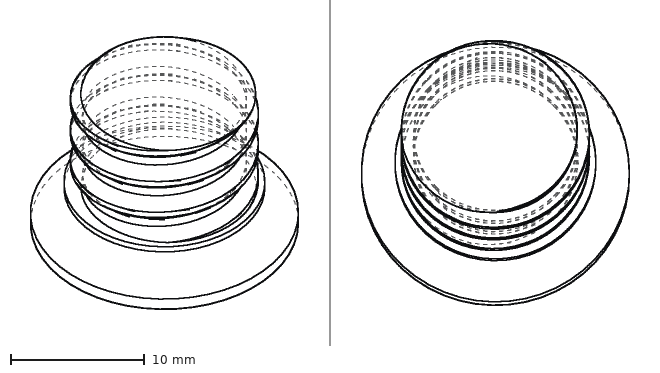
import cadquery as cq
import math

flange_diameter = 20.0
flange_height = 1.0
collar_diameter = 15.0
cone_height = (flange_diameter - collar_diameter) / 2
collar_height = 0.5
base_height = flange_height + cone_height + collar_height

root_diameter = 12.25
crest_diameter = 14.05
pitch = 3.0
turns = 3
crest_width = 0.52
root_width = 0.75
flank_steps = 12
thread_length = turns * pitch


def make_base():
    """Flange, cone and collar revolved about Z."""
    flange_radius = flange_diameter / 2
    collar_radius = collar_diameter / 2
    cone_top = flange_height + cone_height
    return (
        cq.Workplane("XZ")
        .lineTo(flange_radius, 0)
        .lineTo(flange_radius, flange_height)
        .lineTo(collar_radius, cone_top)
        .lineTo(collar_radius, base_height)
        .lineTo(0, base_height)
        .close()
        .revolve(360, (0, 0, 0), (0, 1, 0))
    )


def polar_point(radius, angle):
    """XY point at a polar angle in degrees."""
    return radius * math.cos(math.radians(angle)), radius * math.sin(math.radians(angle))


def make_threaded_stud():
    """Horizontal thread section, twisted one full turn per pitch.

    The section has a crest arc centred on +X and a root arc centred on -X.
    Linear spirals join them, which become the straight thread flanks.
    """
    root_radius = root_diameter / 2
    crest_radius = crest_diameter / 2
    crest_end = 180 * crest_width / pitch
    root_start = 180 - 180 * root_width / pitch

    def falling_flank(t):
        radius = crest_radius + (root_radius - crest_radius) * t
        return polar_point(radius, crest_end + (root_start - crest_end) * t)

    def rising_flank(t):
        x, y = falling_flank(1 - t)
        return x, -y

    crest_arc = cq.Edge.makeThreePointArc(
        cq.Vector(*polar_point(crest_radius, -crest_end)),
        cq.Vector(crest_radius, 0),
        cq.Vector(*polar_point(crest_radius, crest_end)),
    )
    root_arc = cq.Edge.makeThreePointArc(
        cq.Vector(*polar_point(root_radius, root_start)),
        cq.Vector(-root_radius, 0),
        cq.Vector(*polar_point(root_radius, -root_start)),
    )
    flanks = [
        cq.Edge.makeSpline([cq.Vector(*flank(i / flank_steps)) for i in range(flank_steps + 1)])
        for flank in (falling_flank, rising_flank)
    ]
    section = cq.Wire.assembleEdges([crest_arc, flanks[0], root_arc, flanks[1]])
    stud = cq.Solid.extrudeLinearWithRotation(
        section, [], cq.Vector(0, 0, 0), cq.Vector(0, 0, thread_length), 360 * turns
    )
    return cq.Workplane(stud.translate(cq.Vector(0, 0, base_height)))


result = make_base().union(make_threaded_stud())